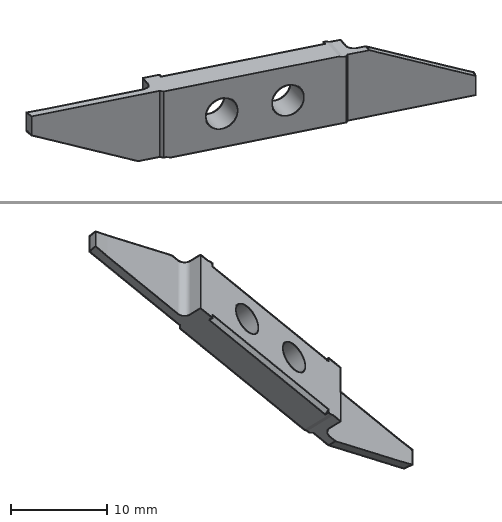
import cadquery as cq

length = 50.5
thickness = 3.6
height = 8.0

block_half_length = 11.15
step_height = 0.15
step_start = 9.5
step_end = 10.0
edge_chamfer = 0.45
edge_chamfer_length = 18.5
hole_diameter = 3.6
hole_spacing = 7.45

arm_front_offset = 2.3
arm_back_offset = 0.3
arm_root_radius = 0.9
back_bevel_start = 10.3
tip_bevel = 0.2
tip_height = 2.15
tip_flare = 0.05
tip_flare_length = 1.95
taper_start = 13.05

half_length = length / 2
half_height = height / 2
front_x = -thickness / 2
back_x = thickness / 2
arm_front_x = front_x + arm_front_offset
arm_back_x = back_x - arm_back_offset


def turn_half(shape):
    """Turn a shape by half a revolution about the X axis."""
    return shape.rotate((0, 0, 0), (1, 0, 0), 180)


def plan_body():
    """Block and arms as seen along Z, extruded over the full height."""
    half_plan = (
        cq.Workplane("XY")
        .workplane(offset=-half_height)
        .moveTo(front_x, 0)
        .lineTo(front_x, block_half_length)
        .lineTo(arm_front_x - arm_root_radius, block_half_length)
        .radiusArc((arm_front_x, block_half_length + arm_root_radius), -arm_root_radius)
        .lineTo(arm_front_x, half_length - tip_flare_length)
        .lineTo(arm_front_x - tip_flare, half_length)
        .lineTo(arm_back_x, half_length - tip_bevel)
        .lineTo(arm_back_x, back_bevel_start + arm_back_offset)
        .lineTo(back_x, back_bevel_start)
        .lineTo(back_x, 0)
        .close()
        .extrude(height)
    )
    return half_plan.union(turn_half(half_plan))


def side_envelope():
    """Side outline: each arm tapers on one edge, diagonally opposite the other."""
    tip_z = tip_height - half_height
    lowered_z = half_height - step_height
    upper_edge = [
        (step_start, half_height),
        (step_end, lowered_z),
        (taper_start, lowered_z),
        (half_length, tip_z),
        (half_length, -half_height),
    ]
    lower_edge = [(-y, -z) for y, z in upper_edge]
    return (
        cq.Workplane("YZ")
        .workplane(offset=front_x)
        .polyline(upper_edge + lower_edge)
        .close()
        .extrude(thickness)
    )


def edge_chamfer_cutter():
    """Wedge that bevels the middle of the upper front edge of the block."""
    return (
        cq.Workplane("XZ")
        .moveTo(front_x, half_height)
        .lineTo(front_x + edge_chamfer, half_height)
        .lineTo(front_x, half_height - edge_chamfer)
        .close()
        .extrude(edge_chamfer_length / 2, both=True)
    )


def mounting_holes():
    """Two round through holes along X."""
    return (
        cq.Workplane("YZ")
        .workplane(offset=front_x)
        .pushPoints([(-hole_spacing / 2, 0), (hole_spacing / 2, 0)])
        .circle(hole_diameter / 2)
        .extrude(thickness)
    )


body = plan_body().intersect(side_envelope())
upper_chamfer = edge_chamfer_cutter()
result = body.cut(upper_chamfer).cut(turn_half(upper_chamfer)).cut(mounting_holes())